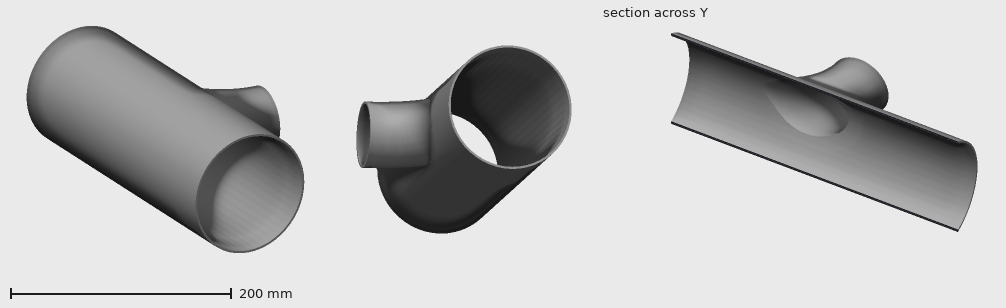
import cadquery as cq

run_diameter = 114.3
run_length = 304.0
branch_diameter = 60.3
wall = 2.0
bend_radius = 76.0
bend_angle = 90.0

mouth_x = 0.0
mouth_y = run_diameter / 2 + bend_radius - branch_diameter / 2


def run_cylinder(diameter):
    """Full-length cylinder along X."""
    return (
        cq.Workplane("YZ")
        .circle(diameter / 2)
        .extrude(run_length / 2, both=True)
    )


def branch_elbow(diameter):
    """Solid elbow from the +Y facing mouth, curving towards -X into the run."""
    return (
        cq.Workplane("XZ", origin=(mouth_x, mouth_y, 0))
        .circle(diameter / 2)
        .revolve(bend_angle, (-bend_radius, 0, 0), (-bend_radius, -1, 0))
    )


outer_body = run_cylinder(run_diameter).union(branch_elbow(branch_diameter))
run_bore = run_cylinder(run_diameter - 2 * wall)
branch_bore = branch_elbow(branch_diameter - 2 * wall)

result = outer_body.cut(run_bore).cut(branch_bore)